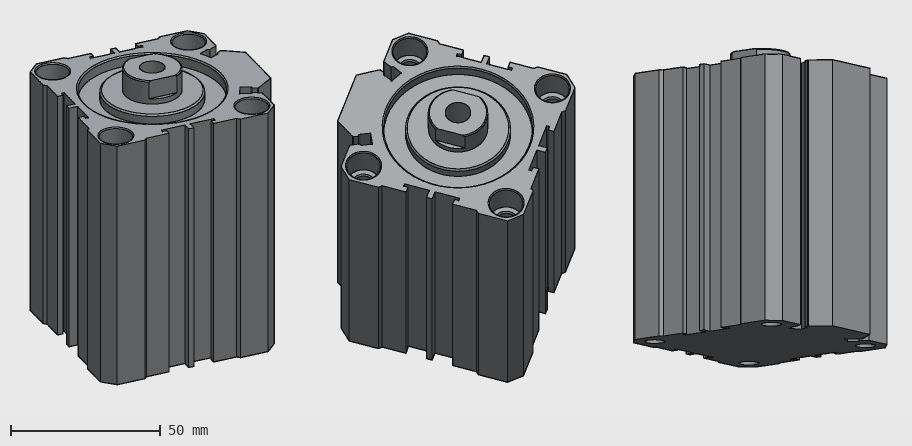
import cadquery as cq


total_height = 98.5
rod_projection = 8.1
body_height = total_height - rod_projection

body_width = 64.0
half_width = body_width / 2
corner_chamfer = 4.2

band_depth = 1.0
band_half_width = 17.5
band_floor_half_width = 16.5
band_face = half_width - band_depth
slot_depth = 3.1
slot_floor = band_face - slot_depth
slot_mouth_half_width = 8.2
hook_half_width = 9.7
hook_height = 1.0
rib_half_width = 1.0
plain_side_angles = [0, 90, -90]

total_depth = 71.0
rail_top = total_depth - half_width
rail_top_half_width = 10.0
rail_tip_half_width = 14.5
rail_tip_y = 32.4

t_slot_tilt = 26.0
t_slot_floor_x = 15.6
t_slot_floor_y = 24.9
t_slot_width = 4.6
t_slot_undercut = 4.1
t_slot_round = 0.6
t_slot_lip = 0.7
t_slot_reach = 8.9

hole_pitch = 50.0
mount_radius = 3.3
mount_mouth_radius = 3.8
counterbore_radius = 5.6
counterbore_depth = 9.85
counterbore_chamfer = 0.4

recess_radius = 24.8
recess_depth = 4.0
recess_chamfer = 0.5
boss_radius = 17.5
boss_setback = 0.6
boss_top = body_height - boss_setback
boss_chamfer = 0.6

rod_radius = 9.9
rod_chamfer = 0.4
rod_socket_depth = 19.7
rod_bottom = boss_top - rod_socket_depth
flat_distance = 8.5
flat_length = 6.7
thread_hole_radius = 4.2
thread_hole_depth = 14.8


def cylinder(radius, bottom, top):
    """Upright cylinder on the Z axis between two heights."""
    return cq.Workplane("XY").workplane(offset=bottom).circle(radius).extrude(top - bottom)


def funnel(bottom_radius, top_radius, top):
    """45-degree cone that widens up to the given height, for chamfering a hole mouth."""
    height = top_radius - bottom_radius
    return (
        cq.Workplane("XY").workplane(offset=top - height).circle(bottom_radius)
        .workplane(offset=height).circle(top_radius).loft(combine=True)
    )


def prism(points):
    """Full-height extrusion of a closed outline."""
    return cq.Workplane("XY").polyline(points).close().extrude(body_height)


def plain_side_cutter():
    """Material removed from the -Y side: shallow band and a hooked slot on each side of the rib."""
    band = prism([
        (-band_half_width, -half_width),
        (band_half_width, -half_width),
        (band_floor_half_width, -band_face),
        (-band_floor_half_width, -band_face),
    ])
    hooked_slot = prism([
        (rib_half_width, -half_width),
        (slot_mouth_half_width, -half_width),
        (slot_mouth_half_width, -slot_floor - hook_height),
        (hook_half_width, -slot_floor - hook_height),
        (hook_half_width, -slot_floor),
        (rib_half_width, -slot_floor),
    ])
    return band.union(hooked_slot).union(hooked_slot.mirror("YZ"))


def sensor_rail():
    """Tapered rail that stands out of the +Y side."""
    return prism([
        (-rail_tip_half_width, 0),
        (-rail_tip_half_width, rail_tip_y),
        (-rail_top_half_width, rail_top),
        (rail_top_half_width, rail_top),
        (rail_tip_half_width, rail_tip_y),
        (rail_tip_half_width, 0),
    ])


def t_slot_cutter():
    """Tilted T-slot on the -X side of the rail, leaning away from it."""
    wide_part = prism([
        (0, 0),
        (t_slot_width, 0),
        (t_slot_width, t_slot_undercut),
        (0, t_slot_undercut),
    ])
    wide_part = wide_part.edges("|Z and >Y").fillet(t_slot_round)
    mouth = prism([
        (t_slot_lip, 0),
        (t_slot_width - t_slot_lip, 0),
        (t_slot_width - t_slot_lip, t_slot_reach),
        (t_slot_lip, t_slot_reach),
    ])
    slot = wide_part.union(mouth)
    slot = slot.rotate((0, 0, 0), (0, 0, 1), t_slot_tilt)
    return slot.translate((-t_slot_floor_x, t_slot_floor_y, 0))


def mounting_hole_cutter():
    """Through hole with a chamfered mouth below a chamfered counterbore."""
    counterbore_floor = body_height - counterbore_depth
    hole = cylinder(mount_radius, 0, body_height)
    hole = hole.union(funnel(mount_radius, mount_mouth_radius, counterbore_floor))
    hole = hole.union(cylinder(counterbore_radius, counterbore_floor, body_height))
    return hole.union(funnel(counterbore_radius, counterbore_radius + counterbore_chamfer, body_height))


def make_housing():
    housing = cq.Workplane("XY").rect(body_width, body_width).extrude(body_height)
    housing = housing.edges("|Z").chamfer(corner_chamfer)
    housing = housing.union(sensor_rail())

    for angle in plain_side_angles:
        housing = housing.cut(plain_side_cutter().rotate((0, 0, 0), (0, 0, 1), angle))

    t_slot = t_slot_cutter()
    housing = housing.cut(t_slot).cut(t_slot.mirror("YZ"))

    for x_side in (-1, 1):
        for y_side in (-1, 1):
            place = (x_side * hole_pitch / 2, y_side * hole_pitch / 2, 0)
            housing = housing.cut(mounting_hole_cutter().translate(place))

    recess_floor = body_height - recess_depth
    housing = housing.cut(cylinder(recess_radius, recess_floor, body_height))
    housing = housing.cut(funnel(recess_radius, recess_radius + recess_chamfer, body_height))
    boss = cylinder(boss_radius, recess_floor, boss_top).faces(">Z").chamfer(boss_chamfer)
    housing = housing.union(boss)

    return housing.cut(cylinder(rod_radius, rod_bottom, body_height))


def make_rod():
    rod = cylinder(rod_radius, rod_bottom, total_height).faces(">Z").chamfer(rod_chamfer)

    flat_bottom = total_height - flat_length
    across_flats = cq.Workplane("XY").workplane(offset=flat_bottom)
    across_flats = across_flats.rect(2 * flat_distance, 2 * rod_radius).extrude(flat_length)
    outside_flats = cylinder(rod_radius, flat_bottom, total_height).cut(across_flats)
    rod = rod.cut(outside_flats)

    return rod.cut(cylinder(thread_hole_radius, total_height - thread_hole_depth, total_height))


housing = make_housing()
rod = make_rod()

result = cq.Compound.makeCompound([housing.val(), rod.val()])